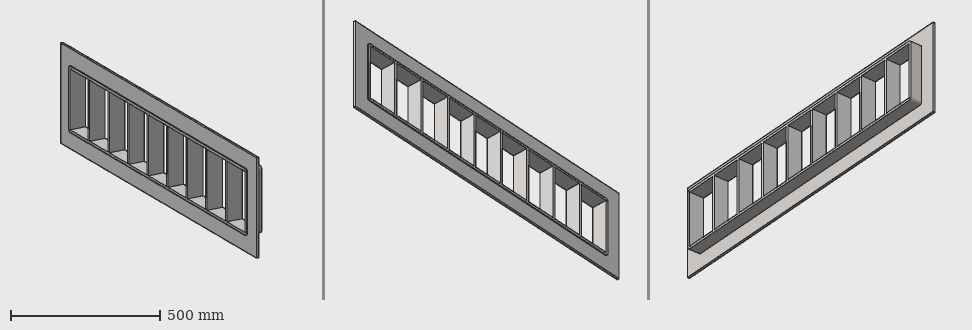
import cadquery as cq

length = 1305.0
height = 357.0
plate_thickness = 9.0
border = 60.0

frame_depth = 60.0
front_lip = 4.0
corner_radius = 10.0
wall = 10.0
opening_count = 9

frame_length = length - 2 * border
frame_height = height - 2 * border
opening_pitch = (frame_length - wall) / opening_count
opening_width = opening_pitch - wall
opening_height = frame_height - 2 * wall


def slab(size_x, depth, size_z, front_y):
    """Block centred in X and Z, running back along +Y from front_y."""
    return cq.Workplane("XY").box(size_x, depth, size_z).translate((0, front_y + depth / 2, 0))


plate = slab(length, plate_thickness, height, front_lip)
frame = slab(frame_length, frame_depth, frame_height, 0).edges("|Y").fillet(corner_radius)
body = plate.union(frame)

openings = (
    cq.Workplane("XZ")
    .rarray(opening_pitch, 13, opening_count, 1)
    .rect(opening_width, opening_height)
    .extrude(-frame_depth)
)

result = body.cut(openings)